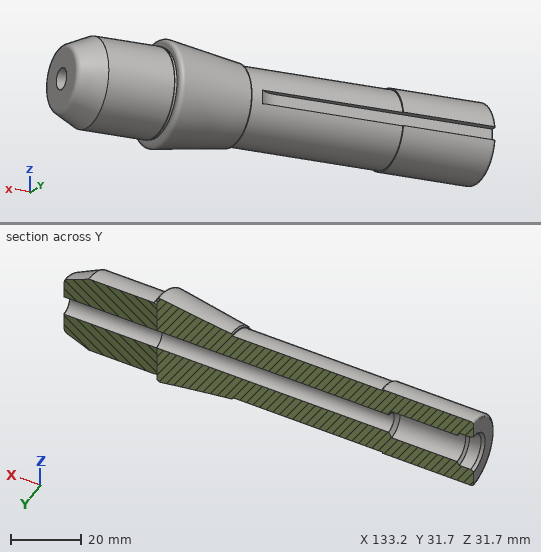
import cadquery as cq
import math

total_length = 133.2
pilot_end = 29.7
taper_start = 78.3
face_x = 103.1
nose_taper_start = 125.1

pilot_radius = 12.1
rear_round = 0.9
waist_radius = 23.5 / 2
taper_small_radius = 12.4
taper_lip = 0.4
head_radius = 31.7 / 2
taper_end = 101.6
head_round = 1.2

mouth_radius = 6.7
mouth_depth = 0.9
counterbore_radius = 12.0 / 2
counterbore_depth = 4.7
drill_radius = 9.7 / 2
drill_depth = 26.6
drill_tip_angle = 118.0
through_radius = 6.4 / 2

key_width = 4.0
key_floor_y = 9.6
key_length = 75.3
key_cutter_radius = 8.0
key_top_y = 13.3

nose_radius = 27.0 / 2
neck_radius = 13.3
neck_length = 0.8
nose_tip_radius = 9.9
nose_tip_round = 1.6


def revolve_about_x(profile):
    """Turn a closed half profile, drawn in XY, around the X axis."""
    return profile.close().revolve(360, (0, 0, 0), (1, 0, 0))


def make_bore():
    """Cutter for the counterbored, drilled hole along the axis."""
    cone_slope = math.tan(math.radians(drill_tip_angle / 2))
    shoulder_length = (counterbore_radius - drill_radius) / cone_slope
    tip_length = (drill_radius - through_radius) / cone_slope
    profile = (
        cq.Workplane("XY")
        .lineTo(0, mouth_radius)
        .lineTo(mouth_depth, counterbore_radius)
        .lineTo(counterbore_depth, counterbore_radius)
        .lineTo(counterbore_depth + shoulder_length, drill_radius)
        .lineTo(drill_depth, drill_radius)
        .lineTo(drill_depth + tip_length, through_radius)
        .lineTo(total_length, through_radius)
        .lineTo(total_length, 0)
    )
    return revolve_about_x(profile)


def make_keyway():
    """Cutter for the slot, open at the rear, whose floor sweeps up at its front end."""
    rise = pilot_radius - key_floor_y
    runout = math.sqrt(key_cutter_radius**2 - (key_cutter_radius - rise) ** 2)
    floor_end = key_length - runout
    cutter_y = key_floor_y + key_cutter_radius
    top_drop = cutter_y - key_top_y
    top_x = floor_end + math.sqrt(key_cutter_radius**2 - top_drop**2)
    return (
        cq.Workplane("XY")
        .moveTo(0, key_floor_y)
        .lineTo(floor_end, key_floor_y)
        .radiusArc((top_x, key_top_y), -key_cutter_radius)
        .lineTo(0, key_top_y)
        .close()
        .extrude(key_width / 2, both=True)
    )


def make_shank():
    """Straight shank with a tapered head, a keyway and the drilled bore."""
    lip_end = taper_start + taper_lip
    profile = (
        cq.Workplane("XY")
        .lineTo(0, pilot_radius - rear_round)
        .radiusArc((rear_round, pilot_radius), rear_round)
        .lineTo(pilot_end, pilot_radius)
        .lineTo(pilot_end, waist_radius)
        .lineTo(taper_start, waist_radius)
        .lineTo(taper_start, taper_small_radius - taper_lip)
        .lineTo(lip_end, taper_small_radius)
        .lineTo(taper_end, head_radius)
        .lineTo(face_x - head_round, head_radius)
        .radiusArc((face_x, head_radius - head_round), head_round)
        .lineTo(face_x, 0)
    )
    return revolve_about_x(profile).cut(make_keyway()).cut(make_bore())


def make_nose():
    """Tapered nose with a rounded tip and a short neck, seated on the front face of the shank."""
    profile = (
        cq.Workplane("XY")
        .moveTo(face_x, 0)
        .lineTo(face_x, neck_radius)
        .lineTo(face_x + neck_length, neck_radius)
        .lineTo(face_x + neck_length, nose_radius)
        .lineTo(nose_taper_start, nose_radius)
        .lineTo(total_length, nose_tip_radius)
        .lineTo(total_length, 0)
    )
    blank = revolve_about_x(profile)
    return blank.faces(">X").edges().fillet(nose_tip_round).cut(make_bore())


shank = make_shank()
nose = make_nose()
result = cq.Compound.makeCompound([shank.val(), nose.val()])